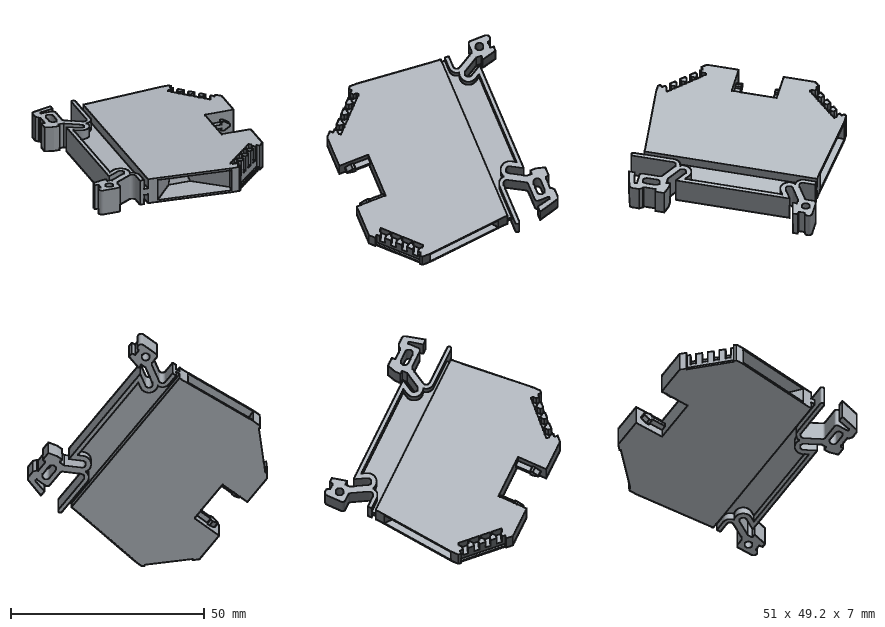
import cadquery as cq
import math


thickness = 7.0
body_top = 35.2
top_half_width = 14.4
shoulder_half_width = 25.0
shoulder_bend_y = 22.45
base_half_width = 22.95
base_wall_height = 0.9
notch_half_width = 5.95
notch_floor = 27.15
overshoot = 2.55

shoulder_drop = shoulder_half_width - top_half_width
label_start = 1.8
label_length = 12.45
label_rim_depth = 0.3
label_rim_height = 0.75
label_depth = 0.85
label_slot_count = 4
label_tooth_neck = 0.435
label_slot_base_z = 2.95
slot_mouth_half = 0.7
slot_root_half = 1.35
label_slot_pitch = 2 * slot_root_half + label_tooth_neck
slot_flare_start = 1.75
slot_flare_end = slot_flare_start + slot_root_half - slot_mouth_half
slot_depth = 3.0

funnel_low_y = 2.6
funnel_entry_depth = 1.9
funnel_end_x = 15.8
funnel_end_low_y = 8.65
funnel_end_high_y = 13.9
funnel_floor_z = 0.6
funnel_roof_z = 6.4
funnel_end_floor_z = 1.75
funnel_end_roof_z = 5.95
funnel_ramp_run = 0.35

latch_reach = 1.5
latch_tip_y = 33.7
latch_nose_y = 33.55
latch_head_y = 32.05
latch_neck_y = 31.25
latch_nose_half = 0.3
latch_head_half = 1.3
latch_stem_half = 0.55

web_thickness = 1.75
feet_middle_x = 2.55
wall = 1.1
flange_top = -1.1
flange_bottom = flange_top - wall
bar_bottom = -8.75
bar_top = bar_bottom + wall
left_flange_end = -26.0
flange_bend_radius = 0.95
flange_bend = (-17.35, flange_bottom - flange_bend_radius)
gap_radius = 0.95
gap_outer_radius = 2.35
gap_bend = (-14.2, -5.2)
arm_slope = 60
foot_top = -8.2
foot_bottom = -14.0
foot_groove_y = -13.05
foot_hole_y = -10.55
foot_hole_radius = 1.0
foot_corner_radius = 0.75
tongue_corner_radius = 0.9


def polar(center, radius, degrees):
    angle = math.radians(degrees)
    return (center[0] + radius * math.cos(angle), center[1] + radius * math.sin(angle))


def mirrored(solid):
    """The solid together with its copy across X = 0."""
    return solid.union(solid.mirror("YZ"))


def prism(points, z_low, z_high):
    plane = cq.Workplane("XY").workplane(offset=z_low)
    return plane.polyline(points).close().extrude(z_high - z_low)


def post(center, radius):
    return cq.Workplane("XY").center(*center).circle(radius).extrude(thickness)


def body_block():
    right_side = [
        (base_half_width, 0),
        (base_half_width, base_wall_height),
        (shoulder_half_width, shoulder_bend_y),
        (shoulder_half_width, body_top - shoulder_drop),
        (top_half_width, body_top),
        (notch_half_width, body_top),
        (notch_half_width, notch_floor),
    ]
    left_side = [(-x, y) for x, y in reversed(right_side)]
    return prism(right_side + left_side, 0, thickness)


def label_cutter():
    """Recess and flared slots of the left shoulder; local X runs down it, local Y into the body."""
    shoulder = cq.Plane(origin=(-top_half_width, body_top, 0), xDir=(-1, -1, 0), normal=(0, 0, 1))

    def recess(depth, z_low):
        plane = cq.Workplane(shoulder).workplane(offset=z_low)
        area = plane.moveTo(label_start, -overshoot).rect(label_length, depth + overshoot, centered=False)
        return area.extrude(thickness - z_low)

    cutter = recess(label_rim_depth, 0).union(recess(label_depth, label_rim_height))
    half_profile = [
        (slot_mouth_half, 0),
        (slot_mouth_half, slot_flare_start),
        (slot_root_half, slot_flare_end),
        (slot_root_half, slot_depth),
    ]
    label_middle = label_start + label_length / 2
    for index in range(label_slot_count):
        middle = label_middle + (index - (label_slot_count - 1) / 2) * label_slot_pitch
        near_side = [(middle - x, y) for x, y in half_profile]
        far_side = [(middle + x, y) for x, y in reversed(half_profile)]
        plane = cq.Workplane(shoulder).workplane(offset=label_slot_base_z)
        slot = plane.polyline(near_side + far_side).close().extrude(thickness - label_slot_base_z)
        cutter = cutter.union(slot)
    return cutter


def funnel_cutter():
    """Tapered wire entry of the left side wall."""
    wall_run = shoulder_half_width - base_half_width
    wall_rise = shoulder_bend_y - base_wall_height
    wall_lean = wall_run / wall_rise
    low_x = -base_half_width - (funnel_low_y - base_wall_height) * wall_lean
    plan = [
        (-shoulder_half_width - overshoot, shoulder_bend_y - overshoot * wall_lean),
        (-shoulder_half_width + funnel_entry_depth, shoulder_bend_y + funnel_entry_depth * wall_lean),
        (-funnel_end_x, funnel_end_high_y),
        (-funnel_end_x, funnel_end_low_y),
        (low_x, funnel_low_y),
        (-shoulder_half_width - overshoot, funnel_low_y),
    ]
    ramp_x = -funnel_end_x - funnel_ramp_run
    mouth_x = -shoulder_half_width - overshoot
    section = [
        (mouth_x, funnel_floor_z),
        (ramp_x, funnel_floor_z),
        (-funnel_end_x, funnel_end_floor_z),
        (-funnel_end_x, funnel_end_roof_z),
        (ramp_x, funnel_roof_z),
        (mouth_x, funnel_roof_z),
    ]
    taper = cq.Workplane("XZ").polyline(section).close().extrude(-body_top)
    return prism(plan, 0, thickness).intersect(taper)


def latch():
    """Latch on the left wall of the notch, symmetric about mid thickness."""
    upper_side = [
        (notch_floor, latch_stem_half),
        (latch_neck_y, latch_stem_half),
        (latch_neck_y, latch_head_half),
        (latch_head_y, latch_head_half),
        (latch_nose_y, latch_nose_half),
    ]
    lower_side = [(y, -z) for y, z in reversed(upper_side)]
    plane = cq.Workplane("YZ", origin=(-notch_half_width, 0, thickness / 2))
    return plane.polyline(upper_side + [(latch_tip_y, 0)] + lower_side).close().extrude(latch_reach)


def web():
    """Thin sheet below the body; its lower edge runs inside the flange, gap bends and bar."""
    wall_middle = wall / 2
    flange_middle = flange_top - wall_middle
    bend_middle = (gap_radius + gap_outer_radius) / 2
    left_edge = [
        (flange_bend[0], flange_middle),
        polar(flange_bend, flange_bend_radius + wall_middle, 30),
        polar(gap_bend, bend_middle, 120),
        polar(gap_bend, bend_middle, 75),
        polar(gap_bend, bend_middle, 30),
        polar(gap_bend, bend_middle, -30),
        (gap_bend[0], bar_bottom + wall_middle),
    ]
    lower_edge = [(feet_middle_x + x, y) for x, y in left_edge]
    lower_edge += [(feet_middle_x - x, y) for x, y in reversed(left_edge)]
    outline = [(-base_half_width, 0), (-base_half_width, flange_middle)]
    outline += lower_edge
    outline += [(base_half_width, flange_middle), (base_half_width, 0)]
    z_low = (thickness - web_thickness) / 2
    return prism(outline, z_low, z_low + web_thickness)


def spring(flange_end, foot_points):
    """Flange, bends, half of the lower bar and one foot, left of the middle of the feet.

    foot_points runs from the inner side of the foot, along its lower edge, to its upper outer corner.
    """
    across = arm_slope - 90
    slope = math.tan(math.radians(arm_slope))

    centers = math.dist(flange_bend, gap_bend)
    flange_outer_radius = flange_bend_radius + wall
    heading = math.degrees(math.atan2(gap_bend[1] - flange_bend[1], gap_bend[0] - flange_bend[0]))
    cosine = (flange_outer_radius**2 + centers**2 - gap_outer_radius**2) / (2 * flange_outer_radius * centers)
    join_angle = heading + math.degrees(math.acos(cosine))
    join = polar(flange_bend, flange_outer_radius, join_angle)

    gap_outer_tangent = polar(gap_bend, gap_outer_radius, across)
    bar_inner_x = gap_outer_tangent[0] - (gap_outer_tangent[1] - bar_top) / slope
    gap_right = polar(gap_bend, gap_radius, across)
    bar_corner_x = gap_right[0] - (gap_right[1] - bar_bottom) / slope
    gap_left = polar(gap_bend, gap_radius, across + 180)
    foot_inner_x = foot_points[0][0]
    arm_end_y = gap_left[1] - (gap_left[0] - foot_inner_x) * slope
    arm_tangent = polar(flange_bend, flange_bend_radius, across)
    arm_foot_x = arm_tangent[0] - (arm_tangent[1] - foot_top) / slope

    outline = (
        cq.Workplane("XY")
        .moveTo(flange_end, flange_top)
        .lineTo(flange_bend[0], flange_top)
        .threePointArc(polar(flange_bend, flange_outer_radius, (90 + join_angle) / 2), join)
        .threePointArc(polar(gap_bend, gap_outer_radius, 45), gap_outer_tangent)
        .lineTo(bar_inner_x, bar_top)
        .lineTo(0, bar_top)
        .lineTo(0, bar_bottom)
        .lineTo(bar_corner_x, bar_bottom)
        .lineTo(*gap_right)
        .threePointArc(polar(gap_bend, gap_radius, across + 90), gap_left)
        .lineTo(foot_inner_x, arm_end_y)
    )
    for point in foot_points:
        outline = outline.lineTo(*point)
    outline = (
        outline.lineTo(arm_foot_x, foot_top)
        .lineTo(*arm_tangent)
        .threePointArc(polar(flange_bend, flange_bend_radius, (90 + across) / 2),
                       (flange_bend[0], flange_bottom))
        .lineTo(flange_end, flange_bottom)
        .close()
    )
    solid = outline.extrude(thickness)
    return round_edges(solid, [(arm_foot_x, foot_top), foot_points[-1]], foot_corner_radius)


def round_edges(solid, points, radius):
    """Fillet the upright edges that stand on the given XY points."""
    reach = 0.025
    for x, y in points:
        box = cq.selectors.BoxSelector((x - reach, y - reach, 0), (x + reach, y + reach, thickness))
        solid = solid.edges("|Z").edges(box).fillet(radius)
    return solid


def slotted_foot():
    """Left foot with a release tongue and an oblong hole."""
    tongue_corner = (-26.1, foot_bottom)
    foot_points = [
        (-17.3, -10.1),
        (-16.3, -10.1),
        (-16.3, -11.65),
        (-17.0, foot_bottom),
        (-19.4, foot_bottom),
        (-19.5, foot_groove_y),
        (-22.65, foot_groove_y),
        (-22.75, -13.4),
        (-23.55, foot_bottom),
        tongue_corner,
        (-27.7, foot_top),
        (-26.15, foot_top),
        (-25.3, -11.95),
        (-24.75, -11.95),
        (-24.75, foot_top),
    ]
    hole_left = -23.4
    hole_right = -18.9
    flange_tip_radius = wall / 2
    flange_end = left_flange_end - feet_middle_x + flange_tip_radius
    foot = spring(flange_end, foot_points)
    foot = foot.union(post((flange_end, flange_top - flange_tip_radius), flange_tip_radius))
    foot = round_edges(foot, [tongue_corner], tongue_corner_radius)
    hole = (
        cq.Workplane("XY")
        .center((hole_left + hole_right) / 2, foot_hole_y)
        .slot2D(hole_right - hole_left, 2 * foot_hole_radius)
        .extrude(thickness)
    )
    return foot.cut(hole).translate((feet_middle_x, 0, 0))


def plain_foot():
    """Right foot with a round hole, shaped on the left and mirrored into place."""
    lobe_x = -21.1
    lobe_radius = foot_groove_y - foot_bottom
    foot_points = [
        (-17.35, -10.1),
        (-16.2, -10.1),
        (-17.2, foot_bottom),
        (-18.4, foot_bottom),
        (-18.5, foot_groove_y),
        (lobe_x + lobe_radius, foot_groove_y),
        (lobe_x - lobe_radius, foot_groove_y),
        (lobe_x - lobe_radius, foot_top),
    ]
    hole_x = -19.8
    foot = spring(feet_middle_x - base_half_width, foot_points)
    foot = foot.union(post((lobe_x, foot_groove_y), lobe_radius))
    hole = post((hole_x, foot_hole_y), foot_hole_radius)
    return foot.cut(hole).mirror("YZ").translate((feet_middle_x, 0, 0))


body = body_block().cut(mirrored(label_cutter())).cut(mirrored(funnel_cutter()))
result = body.union(mirrored(latch())).union(web()).union(slotted_foot()).union(plain_foot())